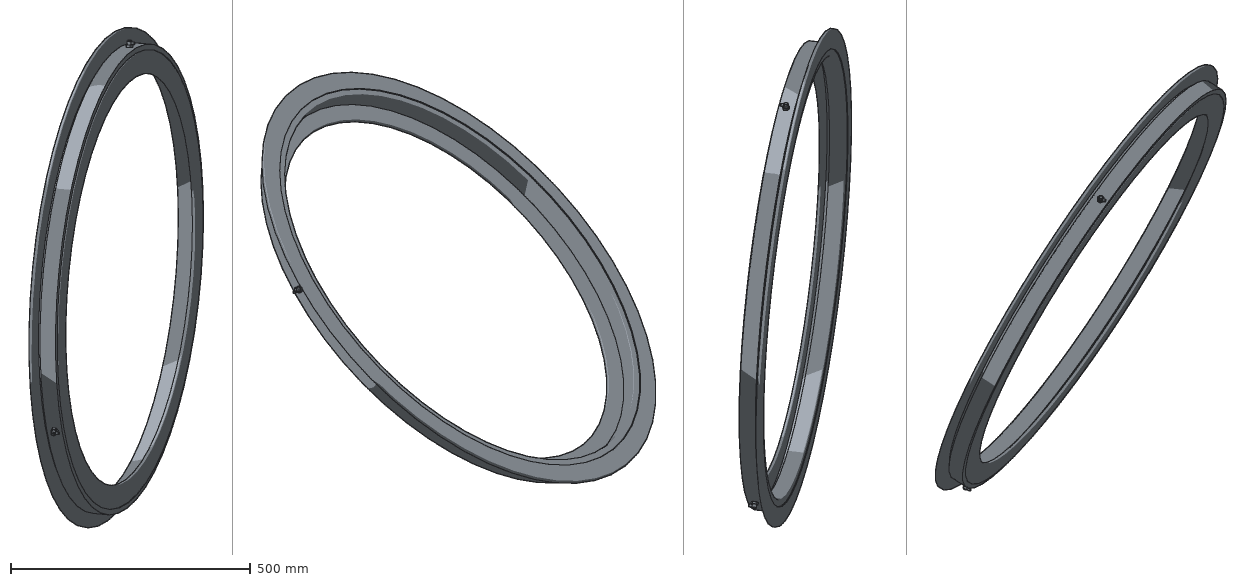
import cadquery as cq
overall_width = 52.2

edge_rounding = 2

flange_radius = 525
flange_thickness = 8

race_bore_radius = 467
race_radius = 482.5
inner_race_start = 1.5
inner_race_end = 36.5

outer_race_radius = 494
outer_race_start = 15
outer_race_end = 49

disc_bore_radius = 432.5
disc_thickness = 8
disc_start = overall_width - disc_thickness

nipple_count = 3
first_nipple_angle = -5.5
nipple_x = 33
hexagon_diameter = 15
hexagon_height = 5
neck_diameter = 10
nipple_height = 14
neck_chamfer = 2
spout_diameter = 6
spout_length = 12
spout_height = 8.5
spout_tip_chamfer = 1.5
seat_depth = 1


def turned_ring(start, end, bore_radius, rim_radius):
    """Ring of rectangular section around the X axis, between two X positions."""
    return (
        cq.Workplane("YZ", origin=(start, 0, 0))
        .circle(rim_radius)
        .circle(bore_radius)
        .extrude(end - start)
    )


def make_flange():
    """Flat ring around the end of the inner race, with its rim rounded."""
    plate = turned_ring(0, flange_thickness, race_radius, flange_radius)
    rim_edges = cq.selectors.RadiusNthSelector(-1)
    return plate.edges(rim_edges).fillet(edge_rounding)


def make_inner_race():
    """Tube set just inside the flange face, both edges of that end rounded."""
    tube = turned_ring(inner_race_start, inner_race_end, race_bore_radius, race_radius)
    return tube.faces("<X").edges().fillet(edge_rounding)


def make_outer_race():
    """Plain ring around the inner race and the disc."""
    return turned_ring(outer_race_start, outer_race_end, race_radius, outer_race_radius)


def make_disc():
    """Flat ring closing the end of the outer race, with all its edges rounded."""
    plate = turned_ring(disc_start, overall_width, disc_bore_radius, race_radius)
    return plate.edges("%CIRCLE").fillet(edge_rounding)


def make_nipple(angle):
    """Angled grease nipple seated on the outer race, its spout pointing along +X."""
    base = (
        cq.Workplane("XY", origin=(nipple_x, 0, outer_race_radius - seat_depth))
        .polygon(6, hexagon_diameter)
        .extrude(hexagon_height + seat_depth)
    )
    neck = (
        cq.Workplane("XY", origin=(nipple_x, 0, outer_race_radius))
        .circle(neck_diameter / 2)
        .extrude(nipple_height)
        .faces(">Z")
        .chamfer(neck_chamfer)
    )
    spout = (
        cq.Workplane("YZ", origin=(nipple_x, 0, outer_race_radius + spout_height))
        .circle(spout_diameter / 2)
        .extrude(spout_length)
        .faces(">X")
        .chamfer(spout_tip_chamfer)
    )
    race_surface = cq.Workplane("YZ").circle(outer_race_radius).extrude(overall_width)
    nipple = base.union(neck).union(spout).cut(race_surface)
    return nipple.rotate((0, 0, 0), (1, 0, 0), angle)


flange = make_flange()
inner_race = make_inner_race()
outer_race = make_outer_race()
disc = make_disc()
nipples = [
    make_nipple(first_nipple_angle + i * 360 / nipple_count)
    for i in range(nipple_count)
]

result = cq.Compound.makeCompound([
    flange.val(),
    inner_race.val(),
    outer_race.val(),
    disc.val(),
    *[nipple.val() for nipple in nipples],
])